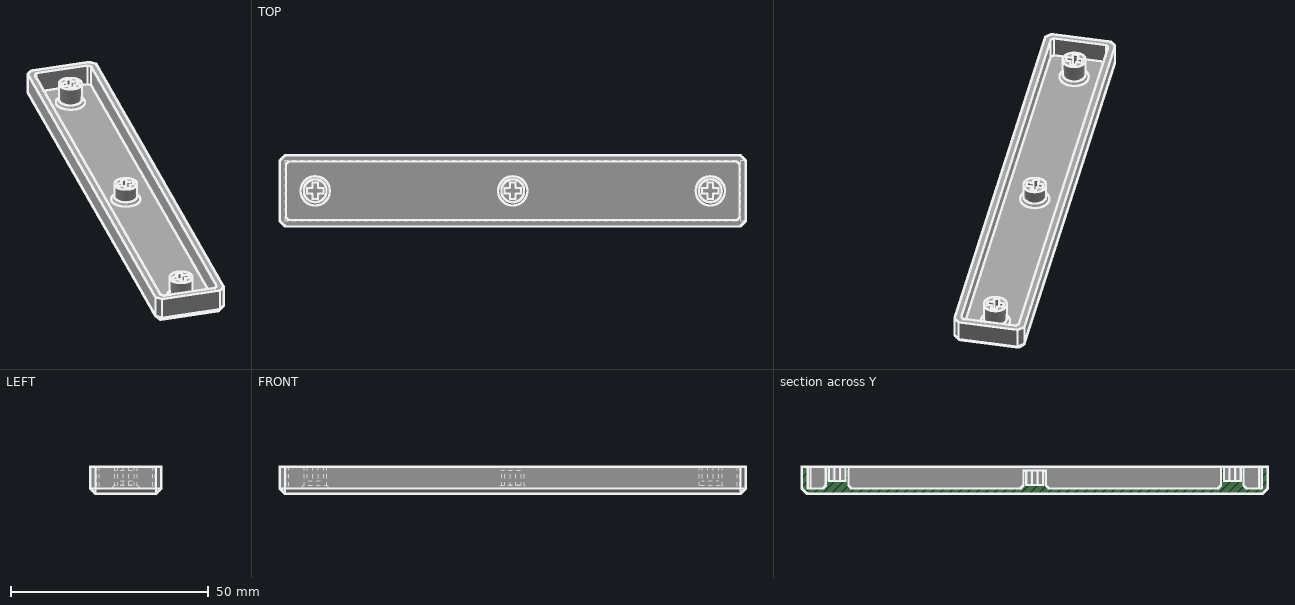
import cadquery as cq

length = 118.06
width = 18.05
height = 6.9
wall = 1.6
outer_chamfer = 1.4
floor_thickness = 1.4
cavity_corner_chamfer = 0.7

stem_diameter = 5.8
stem_pitch = 50.0
stem_flare = 0.8
outer_stem_top = height
middle_stem_top = height - 1.0
stems = [
    (-stem_pitch, outer_stem_top),
    (0, middle_stem_top),
    (stem_pitch, outer_stem_top),
]

cross_length = 4.2
cross_arm_width = 1.4
cross_fillet = 0.3
cross_depth = 3.6


def make_shell():
    """Chamfered block hollowed out from the top."""
    body = (
        cq.Workplane("XY")
        .box(length, width, height, centered=(True, True, False))
        .edges("|Z or <Z").chamfer(outer_chamfer)
    )
    cavity = (
        cq.Workplane("XY", origin=(0, 0, floor_thickness))
        .box(length - 2 * wall, width - 2 * wall, height, centered=(True, True, False))
        .edges("|Z").chamfer(cavity_corner_chamfer)
    )
    return body.cut(cavity)


def make_stem(x, top):
    """Round post with a conical flare where it meets the floor."""
    radius = stem_diameter / 2
    profile = [
        (0, floor_thickness),
        (radius + stem_flare, floor_thickness),
        (radius, floor_thickness + stem_flare),
        (radius, top),
        (0, top),
    ]
    post = cq.Workplane("XZ").polyline(profile).close().revolve(360, (0, 0), (0, 1))
    return post.translate((x, 0, 0))


def make_cross(x, top):
    """Cross-shaped socket, rounded at its four inner corners, opening at a stem top."""
    plane = cq.Workplane("XY")
    along_x = plane.rect(cross_length, cross_arm_width).extrude(-cross_depth)
    along_y = plane.rect(cross_arm_width, cross_length).extrude(-cross_depth)
    reach = cross_arm_width / 2 + cross_fillet
    inner_corners = cq.selectors.BoxSelector((-reach, -reach, -cross_depth), (reach, reach, 0))
    cross = along_x.union(along_y).edges("|Z").edges(inner_corners).fillet(cross_fillet)
    return cross.translate((x, 0, top))


result = make_shell()
for stem_x, stem_top in stems:
    result = result.union(make_stem(stem_x, stem_top))
    result = result.cut(make_cross(stem_x, stem_top))